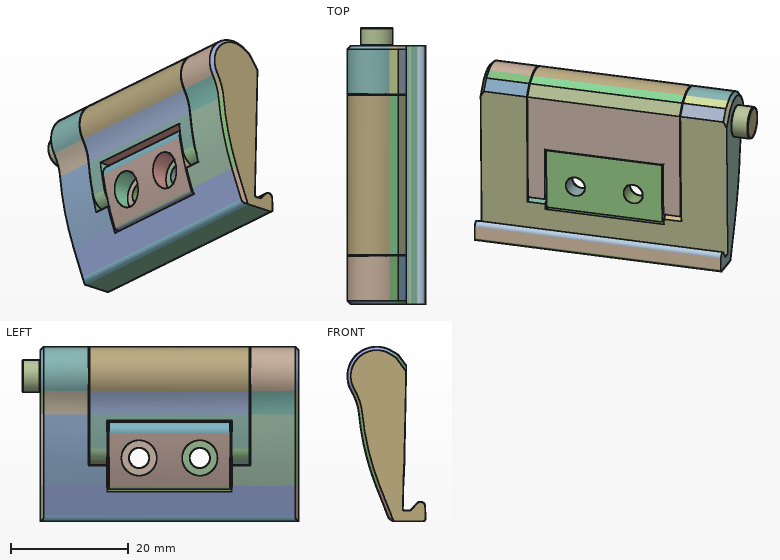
import cadquery as cq
import math


knuckle_radius = 5.0
back_top = (5.03, 1.75)
crown_break = (3.63, 3.65)
crown_tangent_x = 2.19
waist_start_z = -2.54
waist_end = (-3.02, -6.48)
front_end = (-0.12, -18.66)
toe_corner = (2.23, -24.63)
back_taper = 0.024
tool_reach = 10.0

frame_length = 43.86
end_chamfer = 0.6
toe_radius = 1.3
hook_outer_x = 8.34
hook_tip = (8.14, -20.15)
trough_z = -22.78
trough_end_x = 5.7
hook_outer_radius = 0.5
hook_tip_radius = 0.8
trough_radius = 0.25
bay_width = 27.4
bay_lip = (-1.1, -15.0)
bay_lip_slope = 1.0
bay_floor_slope = -0.5

leaf_side_gap = 0.15
leaf_width = bay_width - 2 * leaf_side_gap
leaf_back_foot = (4.68, -16.9)
leaf_toe = (-1.6, -13.7)
leaf_toe_radius = 3.0

window_width = 21.15
plate_side_gap = 0.3
plate_width = window_width - 2 * plate_side_gap
window_top_z = -7.55
window_top_slope = -0.02
window_floor_z = -19.7
window_floor_slope = 0.2
plate_top_z = -7.8
plate_floor_gap = 0.4
plate_top_radius = 1.7
plate_toe_radius = 0.5
screw_spacing = 10.3
screw_z = -13.88
screw_hole_diameter = 3.4
counterbore_diameter = 6.0
counterbore_floor_x = 1.05
trunnion_diameter = 4.45
trunnion_x = 0.9
trunnion_z = -11.55
trunnion_depth = 1.5

pin_diameter = 3.0
leaf_bore_diameter = 3.11
pin_head_diameter = 5.5
pin_head_length = 3.04
pin_head_chamfer = 0.15
pin_tip_y = -20.0


def back_x(z):
    """X of the frame's leaning back face at height z."""
    return back_top[0] - back_taper * (back_top[1] - z)


def front_outline():
    """Open outline from the back corner over the knuckle and down the front."""
    crown_tangent = (crown_tangent_x, math.sqrt(knuckle_radius**2 - crown_tangent_x**2))
    waist_start = (-math.sqrt(knuckle_radius**2 - waist_start_z**2), waist_start_z)
    knuckle_front = (-knuckle_radius, 0)
    return (
        cq.Workplane("XZ")
        .moveTo(*back_top)
        .lineTo(*crown_break)
        .lineTo(*crown_tangent)
        .threePointArc(knuckle_front, waist_start)
        .tangentArcPoint(waist_end, relative=False)
        .tangentArcPoint(front_end, relative=False)
    )


def frame_blank(length):
    """Prism of the full section with its hook, centred on Y = 0 and with a sharp toe."""
    return (
        front_outline()
        .lineTo(*toe_corner)
        .lineTo(hook_outer_x, toe_corner[1])
        .lineTo(*hook_tip)
        .lineTo(trough_end_x, trough_z)
        .lineTo(back_x(trough_z), trough_z)
        .close()
        .extrude(length / 2, both=True)
    )


def prism(points, width):
    """Prism over an XZ polygon, centred on Y = 0."""
    return cq.Workplane("XZ").polyline(points).close().extrude(width / 2, both=True)


def y_cylinder(diameter, y_start, y_end, x=0.0, z=0.0):
    """Cylinder along Y."""
    return (
        cq.Workplane("XZ", origin=(0, y_end, 0))
        .center(x, z)
        .circle(diameter / 2)
        .extrude(y_end - y_start)
    )


def x_cylinder(diameter, x_start, x_end, y, z):
    """Cylinder along X."""
    return (
        cq.Workplane("YZ", origin=(x_start, y, z))
        .circle(diameter / 2)
        .extrude(x_end - x_start)
    )


def edge_at(x, z):
    """Selector for the Y-parallel edge through (x, z)."""
    return cq.selectors.NearestToPointSelector((x, 0, z))


def window_floor(x, rise=0.0):
    """Height at x of the sloping window floor, or of a plane lying rise above it."""
    return window_floor_z + window_floor_slope * x + rise


def window_cutter():
    """Opening around the plate, through both the frame and the leaf."""
    front, back = -tool_reach, tool_reach
    return prism(
        [
            (front, window_top_z + window_top_slope * front),
            (back, window_top_z + window_top_slope * back),
            (back, window_floor(back)),
            (front, window_floor(front)),
        ],
        window_width,
    )


def bay_cutter():
    """Opening that takes the leaf: everything above the ridged bay floor."""
    front, back = bay_lip[0] - tool_reach, bay_lip[0] + tool_reach
    return prism(
        [
            (front, tool_reach),
            (front, bay_lip[1] - bay_lip_slope * tool_reach),
            bay_lip,
            (back, bay_lip[1] + bay_floor_slope * tool_reach),
            (back, tool_reach),
        ],
        bay_width,
    )


def trunnions():
    """Stub shafts standing out of both ends of the plate."""
    reach = window_width / 2 + trunnion_depth
    return y_cylinder(trunnion_diameter, -reach, reach, trunnion_x, trunnion_z)


def chamfered_end_edges(body):
    """Edges round the front of both end faces, from the back corner down to the toe."""
    picked = []
    for edge in body.faces("<Y or >Y").edges().vals():
        mid = edge.positionAt(0.5)
        on_front = mid.x < toe_corner[0] and mid.z > toe_corner[1] + end_chamfer
        on_crown = mid.z > back_top[1]
        if on_front or on_crown:
            picked.append(edge)
    return body.newObject(picked)


def build_frame():
    """Outer hinge half with two end knuckles and the hook."""
    body = chamfered_end_edges(frame_blank(frame_length)).chamfer(end_chamfer)
    body = body.edges(edge_at(*toe_corner)).fillet(toe_radius)
    body = body.edges(edge_at(hook_outer_x, toe_corner[1])).fillet(hook_outer_radius)
    body = body.edges(edge_at(*hook_tip)).fillet(hook_tip_radius)
    for x in (back_x(trough_z), trough_end_x):
        body = body.edges(edge_at(x, trough_z)).fillet(trough_radius)
    bore = y_cylinder(pin_diameter, pin_tip_y, frame_length / 2)
    return body.cut(bay_cutter()).cut(window_cutter()).cut(bore)


def build_leaf():
    """Inner hinge half with the middle knuckle, sitting in the bay of the frame."""
    foot_x, foot_z = leaf_back_foot
    body = (
        front_outline()
        .lineTo(foot_x, front_end[1])
        .lineTo(*leaf_back_foot)
        .close()
        .extrude(leaf_width / 2, both=True)
    )
    front, back = foot_x - tool_reach, foot_x + tool_reach
    below = prism(
        [
            (front, foot_z - bay_floor_slope * tool_reach),
            (back, foot_z + bay_floor_slope * tool_reach),
            (back, foot_z - tool_reach),
            (front, foot_z - tool_reach),
        ],
        leaf_width,
    )
    body = body.cut(below)
    body = body.edges(edge_at(*leaf_toe)).fillet(leaf_toe_radius)
    bore = y_cylinder(leaf_bore_diameter, -leaf_width / 2, leaf_width / 2)
    return body.cut(bore).cut(window_cutter()).cut(trunnions())


def build_plate():
    """Counterbored mounting plate that swings on its trunnions in the leaf."""
    back = back_x(plate_top_z)
    front = -tool_reach
    band = prism(
        [
            (front, plate_top_z),
            (back + tool_reach, plate_top_z),
            (back + tool_reach, window_floor(back + tool_reach, plate_floor_gap)),
            (front, window_floor(front, plate_floor_gap)),
        ],
        plate_width,
    )
    body = frame_blank(plate_width).intersect(band)
    front_toe = (front_end[0], window_floor(front_end[0], plate_floor_gap))
    front_brow = (waist_end[0], plate_top_z)
    body = body.edges(edge_at(*front_toe)).fillet(plate_toe_radius)
    body = body.edges(edge_at(*front_brow)).fillet(plate_top_radius)
    body = body.union(trunnions())
    for y in (-screw_spacing / 2, screw_spacing / 2):
        body = body.cut(x_cylinder(screw_hole_diameter, -tool_reach, tool_reach, y, screw_z))
        body = body.cut(x_cylinder(counterbore_diameter, -tool_reach, counterbore_floor_x, y, screw_z))
    return body


def build_pin():
    """Headed hinge pin, blind in the far knuckle."""
    shank_end = frame_length / 2
    head = y_cylinder(pin_head_diameter, shank_end, shank_end + pin_head_length)
    head = head.faces("<Y or >Y").edges().chamfer(pin_head_chamfer)
    return head.union(y_cylinder(pin_diameter, pin_tip_y, shank_end))


frame = build_frame()
leaf = build_leaf()
plate = build_plate()
pin = build_pin()
bodies = [body.solids().val() for body in (frame, leaf, plate, pin)]
result = cq.Compound.makeCompound(bodies)